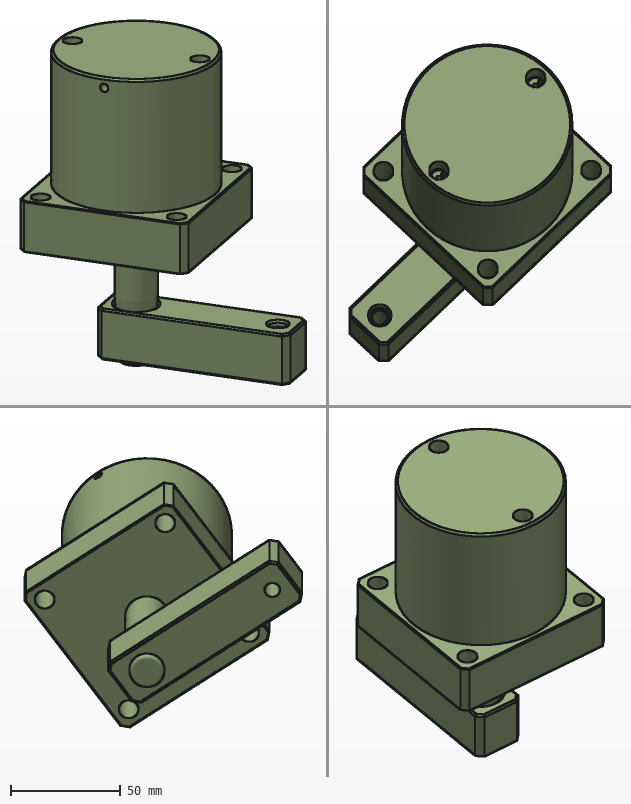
import cadquery as cq

TOTAL_HEIGHT = 152.1
ARM_BOTTOM = 3.0
PLATE_THICKNESS = 25.0
ARM_TOP = ARM_BOTTOM + PLATE_THICKNESS
ROD_GAP = 34.0
FLANGE_BOTTOM = ARM_TOP + ROD_GAP
FLANGE_TOP = FLANGE_BOTTOM + PLATE_THICKNESS

FLANGE_SIDE = 83.0
CORNER_CHAMFER = 3.0
FLANGE_EDGE_CHAMFER = 0.5
BOLT_HOLE_SPACING = 67.2
BOLT_HOLE_DIAMETER = 9.0
BARREL_DIAMETER = 78.0
BARREL_TOP_CHAMFER = 1.0
PORT_SPACING = 63.0
PORT_DIAMETER = 8.8
PORT_DEPTH = 15.2
SIDE_HOLE_DIAMETER = 4.0
SIDE_HOLE_DROP = 5.0

PLUG_HEIGHT = 4.5
PLUG_DISH_DEPTH = 0.5
PLUG_DIMPLE_DIAMETER = 2.5
PLUG_NOTCH_LENGTH = 2.1
PLUG_NOTCH_WIDTH = 1.7
PLUG_NOTCH_DEPTH = 1.2

ROD_DIAMETER = 20.0
ROD_END_DIAMETER = 16.1
ROD_END_FILLET = 1.7
TAPER_LEAD = 4.3
TAPER_TOP = ARM_TOP + TAPER_LEAD
ROD_TOP = FLANGE_TOP

ARM_WIDTH = 25.0
ARM_BACK = 15.0
ARM_REACH = 80.0
ARM_EDGE_CHAMFER = 0.9
ARM_BORE_CHAMFER = 1.4
TIP_HOLE_OFFSET = 70.0
TIP_HOLE_DIAMETER = 7.0
TIP_COUNTERBORE_DIAMETER = 8.5
TIP_COUNTERBORE_DEPTH = 3.0
TIP_COUNTERBORE_CHAMFER = 1.0

RIM_CLEARANCE = 0.3

PORT_CENTRES = [(-PORT_SPACING / 2, 0), (PORT_SPACING / 2, 0)]


def make_rod():
    """Turned rod, revolved around the Z axis."""
    end_radius = ROD_END_DIAMETER / 2
    radius = ROD_DIAMETER / 2
    profile = (
        cq.Workplane("XZ")
        .moveTo(0, 0)
        .lineTo(end_radius - ROD_END_FILLET, 0)
        .radiusArc((end_radius, ROD_END_FILLET), -ROD_END_FILLET)
        .lineTo(end_radius, ARM_BOTTOM)
        .lineTo(radius, TAPER_TOP)
        .lineTo(radius, ROD_TOP)
        .lineTo(0, ROD_TOP)
        .close()
    )
    return profile.revolve(360, (0, 0), (0, 1))


def side_hole():
    """Radial hole from the -Y side, ending on a round core of the rod's diameter."""
    height = TOTAL_HEIGHT - SIDE_HOLE_DROP
    hole = (
        cq.Workplane("XZ", origin=(0, 0, height))
        .circle(SIDE_HOLE_DIAMETER / 2)
        .extrude(BARREL_DIAMETER)
    )
    core = (
        cq.Workplane("XY", origin=(0, 0, height - SIDE_HOLE_DIAMETER))
        .circle(ROD_DIAMETER / 2)
        .extrude(2 * SIDE_HOLE_DIAMETER)
    )
    return hole.cut(core)


def make_housing(rod):
    """Flange and barrel in one piece, with the rod's matching bore."""
    flange = (
        cq.Workplane("XY", origin=(0, 0, FLANGE_BOTTOM))
        .rect(FLANGE_SIDE, FLANGE_SIDE)
        .extrude(PLATE_THICKNESS)
        .edges("|Z")
        .chamfer(CORNER_CHAMFER)
        .faces("<Z or >Z")
        .edges()
        .chamfer(FLANGE_EDGE_CHAMFER)
    )
    bolt_holes = (
        cq.Workplane("XY", origin=(0, 0, FLANGE_BOTTOM))
        .rect(BOLT_HOLE_SPACING, BOLT_HOLE_SPACING, forConstruction=True)
        .vertices()
        .circle(BOLT_HOLE_DIAMETER / 2)
        .extrude(PLATE_THICKNESS)
    )
    barrel = (
        cq.Workplane("XY", origin=(0, 0, FLANGE_TOP))
        .circle(BARREL_DIAMETER / 2)
        .extrude(TOTAL_HEIGHT - FLANGE_TOP)
        .faces(">Z")
        .edges()
        .chamfer(BARREL_TOP_CHAMFER)
    )
    ports = (
        cq.Workplane("XY", origin=(0, 0, TOTAL_HEIGHT - PORT_DEPTH))
        .pushPoints(PORT_CENTRES)
        .circle(PORT_DIAMETER / 2)
        .extrude(PORT_DEPTH)
    )
    body = flange.cut(bolt_holes).union(barrel)
    return body.cut(ports).cut(side_hole()).cut(rod)


def make_plug(centre):
    """Disc on a port floor: dished top, conical dimple and a notch at its -X edge."""
    bottom = TOTAL_HEIGHT - PORT_DEPTH
    dish_floor = bottom + PLUG_HEIGHT - PLUG_DISH_DEPTH
    radius = PORT_DIAMETER / 2
    dish_radius = radius - PLUG_DISH_DEPTH
    dimple_radius = PLUG_DIMPLE_DIAMETER / 2
    plug = (
        cq.Workplane("XZ")
        .moveTo(0, bottom)
        .lineTo(radius, bottom)
        .lineTo(radius, bottom + PLUG_HEIGHT)
        .lineTo(dish_radius, dish_floor)
        .lineTo(dimple_radius, dish_floor)
        .lineTo(0, dish_floor - dimple_radius)
        .close()
        .revolve(360, (0, 0), (0, 1))
    )
    notch = (
        cq.Workplane("XY", origin=(0, 0, dish_floor - PLUG_NOTCH_DEPTH))
        .center(-radius + PLUG_NOTCH_LENGTH / 2, 0)
        .rect(PLUG_NOTCH_LENGTH, PLUG_NOTCH_WIDTH)
        .extrude(PLUG_NOTCH_DEPTH + PLUG_DISH_DEPTH)
    )
    return plug.cut(notch).translate((*centre, 0))


def top_rim(x, diameter):
    """Selector for the rim of a hole in the arm's top face, centred at x."""
    half_size = diameter / 2 + RIM_CLEARANCE
    return cq.selectors.BoxSelector(
        (x - half_size, -half_size, ARM_TOP - RIM_CLEARANCE),
        (x + half_size, half_size, ARM_TOP + RIM_CLEARANCE),
        boundingbox=True,
    )


def make_arm(rod):
    """Clamping arm with the rod's tapered bore and a hole near its tip."""
    arm = (
        cq.Workplane("XY", origin=((ARM_REACH - ARM_BACK) / 2, 0, ARM_BOTTOM))
        .rect(ARM_REACH + ARM_BACK, ARM_WIDTH)
        .extrude(PLATE_THICKNESS)
        .edges("|Z")
        .chamfer(CORNER_CHAMFER)
        .faces("<Z or >Z")
        .edges()
        .chamfer(ARM_EDGE_CHAMFER)
    )
    arm = (
        arm.faces(">Z")
        .workplane(origin=(TIP_HOLE_OFFSET, 0, ARM_TOP))
        .cboreHole(TIP_HOLE_DIAMETER, TIP_COUNTERBORE_DIAMETER, TIP_COUNTERBORE_DEPTH)
    )
    arm = arm.edges(top_rim(TIP_HOLE_OFFSET, TIP_COUNTERBORE_DIAMETER)).chamfer(TIP_COUNTERBORE_CHAMFER)
    arm = arm.cut(rod)
    return arm.edges(top_rim(0, ROD_DIAMETER)).chamfer(ARM_BORE_CHAMFER)



rod = make_rod()
housing = make_housing(rod)
arm = make_arm(rod)
plugs = [make_plug(centre) for centre in PORT_CENTRES]

result = cq.Compound.makeCompound(
    [housing.val(), rod.val(), arm.val(), *[plug.val() for plug in plugs]]
)